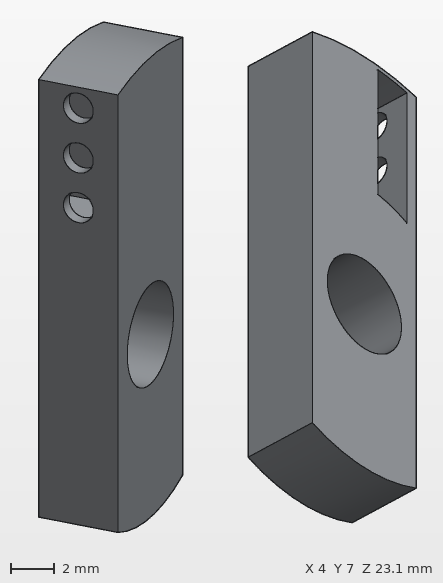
import cadquery as cq
import math

thickness = 4.0
width = 7.0
height = 23.1
bore_height = 9.2
bore_diameter = 5.0

top_radius = height - bore_height
bottom_radius = bore_height
pocket_outer_radius = 13.68
pocket_inner_radius = 6.7
pocket_near_y = -0.9
pocket_far_y = -2.87
pocket_depth = 3.5

hole_diameter = 1.5
hole_pitch = 2.5
top_hole_z = 12.4
hole_count = 3


def arc_z(radius, y):
    """Height above the bore axis of a concentric arc at the given y."""
    return math.sqrt(radius**2 - y**2)


def make_body():
    half_width = width / 2
    top_edge_z = arc_z(top_radius, half_width)
    bottom_edge_z = -arc_z(bottom_radius, half_width)
    return (
        cq.Workplane("YZ", origin=(-thickness / 2, 0, 0))
        .moveTo(-half_width, bottom_edge_z)
        .threePointArc((0, -bottom_radius), (half_width, bottom_edge_z))
        .lineTo(half_width, top_edge_z)
        .threePointArc((0, top_radius), (-half_width, top_edge_z))
        .close()
        .extrude(thickness)
    )


def make_bore():
    return (
        cq.Workplane("YZ", origin=(-thickness / 2, 0, 0))
        .circle(bore_diameter / 2)
        .extrude(thickness)
    )


def make_pocket():
    """Blind pocket sunk into the -X face, with curved ends."""
    middle_y = (pocket_near_y + pocket_far_y) / 2
    return (
        cq.Workplane("YZ", origin=(-thickness / 2, 0, 0))
        .moveTo(pocket_far_y, arc_z(pocket_inner_radius, pocket_far_y))
        .threePointArc(
            (middle_y, arc_z(pocket_inner_radius, middle_y)),
            (pocket_near_y, arc_z(pocket_inner_radius, pocket_near_y)),
        )
        .lineTo(pocket_near_y, arc_z(pocket_outer_radius, pocket_near_y))
        .threePointArc(
            (middle_y, arc_z(pocket_outer_radius, middle_y)),
            (pocket_far_y, arc_z(pocket_outer_radius, pocket_far_y)),
        )
        .close()
        .extrude(pocket_depth)
    )


def make_side_holes():
    """Holes from the -Y face, ending in the middle of the pocket."""
    hole_depth = width / 2 + (pocket_near_y + pocket_far_y) / 2
    hole_centers = [(0, top_hole_z - i * hole_pitch) for i in range(hole_count)]
    return (
        cq.Workplane("XZ", origin=(0, -width / 2, 0))
        .pushPoints(hole_centers)
        .circle(hole_diameter / 2)
        .extrude(-hole_depth)
    )


result = make_body().cut(make_bore()).cut(make_pocket()).cut(make_side_holes())